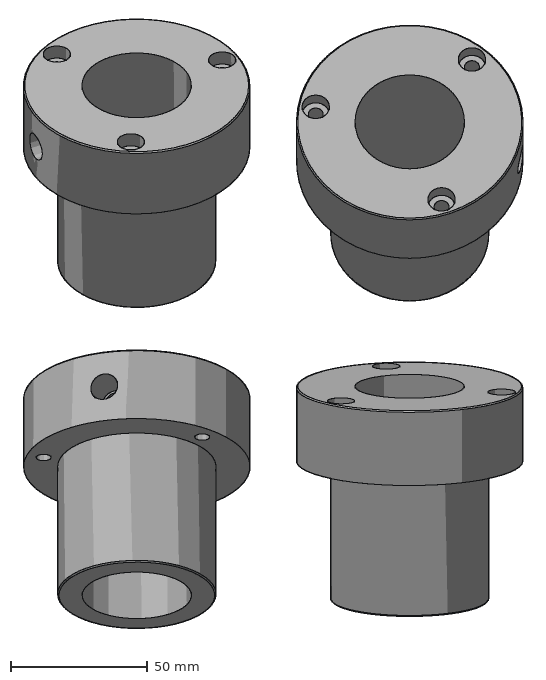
import cadquery as cq

flange_diameter = 83.0
body_diameter = 58.0
bore_diameter = 40.0
total_height = 80.0
flange_thickness = 28.0
edge_chamfer = 0.5

screw_count = 3
screw_circle_radius = 35.0
screw_hole_diameter = 5.5
counterbore_diameter = 10.0
counterbore_depth = 5.5

radial_hole_diameter = 8.5
radial_counterbore_diameter = 10.2
radial_counterbore_depth = 14.9
radial_hole_z = total_height - (flange_thickness + edge_chamfer) / 2


def make_sleeve():
    """Flanged sleeve with chamfered outer end edges, standing on Z = 0."""
    body = cq.Workplane("XY").circle(body_diameter / 2).extrude(total_height)
    body = body.faces("<Z").chamfer(edge_chamfer)
    flange = (
        cq.Workplane("XY", origin=(0, 0, total_height - flange_thickness))
        .circle(flange_diameter / 2)
        .extrude(flange_thickness)
        .faces(">Z")
        .chamfer(edge_chamfer)
    )
    bore = cq.Workplane("XY").circle(bore_diameter / 2).extrude(total_height)
    return body.union(flange).cut(bore)


def cut_screw_holes(part):
    """Cut evenly spaced holes, the first one on +Y, counterbored from the top."""
    return (
        part.faces(">Z")
        .workplane(origin=(0, 0, total_height))
        .polarArray(screw_circle_radius, 90, 360, screw_count)
        .cboreHole(screw_hole_diameter, counterbore_diameter, counterbore_depth)
    )


def cut_radial_hole(part):
    """Cut the hole from the -Y rim into the bore, with a wider outer stretch."""
    rim = cq.Workplane("XZ", origin=(0, -flange_diameter / 2, radial_hole_z))
    hole = rim.circle(radial_hole_diameter / 2).extrude(-flange_diameter / 2)
    counterbore = rim.circle(radial_counterbore_diameter / 2).extrude(-radial_counterbore_depth)
    return part.cut(hole).cut(counterbore)


result = cut_radial_hole(cut_screw_holes(make_sleeve()))